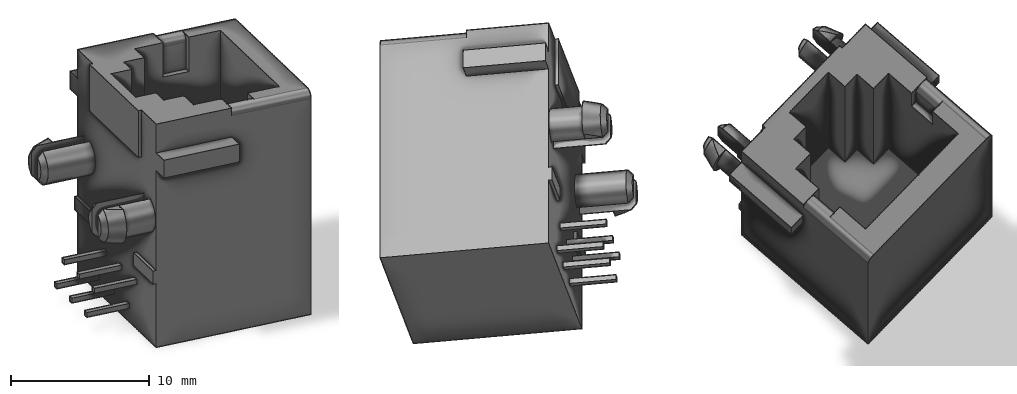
import cadquery as cq
import math


HEIGHT = 18.03
WIDTH = 13.2
DEPTH = 12.35
HALF_WIDTH = WIDTH / 2

BACK_WALL = 1.77
CAVITY_BACK_Y = DEPTH - BACK_WALL
CAVITY_WIDTH = 9.88
SHOULDER_WIDTH = 6.7
SHOULDER_Y = 3.77
LATCH_WIDTH = 4.15
LATCH_Y = 2.15
LATCH_END_Y = 0.52
CAVITY_DEPTH = HEIGHT - BACK_WALL

ROUND_RADIUS = 0.6
ROUND_FRONT_Y = 6.02
NOTCH_LENGTH = 2.05
NOTCH_DEPTH = 2.78

EAR_SPAN = 15.75
EAR_HEIGHT = 1.45
EAR_BOTTOM_Z = 14.26

PAD_RAISE = 0.25
PANEL_WIDTH = 8.24
STANDOFF_WIDTH = 3.25
STANDOFF_HEIGHT = 1.06
STANDOFF_BOTTOM_Z = 5.15

PEG_X = 5.07
PEG_Z = 10.19
PEG_RADIUS = 1.45
PEG_LENGTH = 4.16
PEG_CHAMFER = 0.4
PEG_SLOT = 1.01
BARB_RADIUS = 1.84
BARB_START = 2.49

PIN_SIZE = 0.4
PIN_LENGTH = 3.39
PIN_PITCH = 1.26
PIN_COUNT = 6
PIN_LOW_Z = 1.3
PIN_ROW_SPACING = 2 * PIN_PITCH


def box(x_range, y_range, z_range):
    """Box between two limits along each axis."""
    size = [high - low for low, high in (x_range, y_range, z_range)]
    corner = (x_range[0], y_range[0], z_range[0])
    return cq.Workplane("XY").box(*size, centered=False).translate(corner)


def both_sides(shape):
    """The shape together with its mirror image across X = 0."""
    return shape.union(shape.mirror("YZ"))


def plug_cavity():
    """Cavity that narrows in two steps toward the mounting face."""
    half_outline = [
        (0, CAVITY_BACK_Y),
        (CAVITY_WIDTH / 2, CAVITY_BACK_Y),
        (CAVITY_WIDTH / 2, SHOULDER_Y),
        (SHOULDER_WIDTH / 2, SHOULDER_Y),
        (SHOULDER_WIDTH / 2, LATCH_Y),
        (LATCH_WIDTH / 2, LATCH_Y),
        (LATCH_WIDTH / 2, LATCH_END_Y),
        (0, LATCH_END_Y),
    ]
    half = cq.Workplane("XY", origin=(0, 0, HEIGHT)).polyline(half_outline).close().extrude(-CAVITY_DEPTH)
    return both_sides(half)


def side_wall_reliefs():
    """Material removed to round the side walls' outer top edges and to form the two notches."""
    arc_reach = ROUND_RADIUS * math.sqrt(0.5)
    crest_x = HALF_WIDTH - ROUND_RADIUS
    arc_z = HEIGHT - ROUND_RADIUS
    notch_wall_x = crest_x - ROUND_RADIUS
    plane = cq.Workplane("XZ", origin=(0, ROUND_FRONT_Y, 0))

    outer_round = (
        plane.moveTo(crest_x, HEIGHT)
        .threePointArc((crest_x + arc_reach, arc_z + arc_reach), (HALF_WIDTH, arc_z))
        .lineTo(HALF_WIDTH, HEIGHT)
        .close()
        .extrude(ROUND_FRONT_Y - DEPTH)
    )
    notch = (
        plane.moveTo(crest_x, HEIGHT)
        .threePointArc((crest_x - arc_reach, arc_z + arc_reach), (notch_wall_x, arc_z))
        .lineTo(notch_wall_x, HEIGHT - NOTCH_DEPTH)
        .lineTo(CAVITY_WIDTH / 2, HEIGHT - NOTCH_DEPTH)
        .lineTo(CAVITY_WIDTH / 2, HEIGHT)
        .close()
        .extrude(-NOTCH_LENGTH)
    )
    return both_sides(outer_round.union(notch))


def ears():
    """Rectangular bars on both sides, flush with the mounting face."""
    return both_sides(
        box((HALF_WIDTH, EAR_SPAN / 2), (0, ROUND_FRONT_Y), (EAR_BOTTOM_Z, EAR_BOTTOM_Z + EAR_HEIGHT))
    )


def face_pads():
    """Shallow panel at the top and two standoffs, raised from the mounting face."""
    raise_range = (-PAD_RAISE, 0)
    panel = box((-PANEL_WIDTH / 2, PANEL_WIDTH / 2), raise_range, (EAR_BOTTOM_Z, HEIGHT))
    standoff = box(
        (HALF_WIDTH - STANDOFF_WIDTH, HALF_WIDTH),
        raise_range,
        (STANDOFF_BOTTOM_Z, STANDOFF_BOTTOM_Z + STANDOFF_HEIGHT),
    )
    return panel.union(both_sides(standoff))


def snap_pegs():
    """Two slotted pegs, each with a conical barb on its outer half."""
    half_slot = PEG_SLOT / 2
    half_height = math.sqrt(PEG_RADIUS**2 - half_slot**2)
    chamfer_start = PEG_LENGTH - PEG_CHAMFER
    tip_radius = PEG_RADIUS - PEG_CHAMFER
    plane = cq.Workplane("XZ", origin=(PEG_X, 0, PEG_Z))

    shank = plane.circle(PEG_RADIUS).extrude(PEG_LENGTH).faces("<Y").chamfer(PEG_CHAMFER)

    barb_section = [
        (0, -BARB_START),
        (BARB_RADIUS, -BARB_START),
        (PEG_RADIUS, -chamfer_start),
        (tip_radius, -PEG_LENGTH),
        (0, -PEG_LENGTH),
    ]
    barb = (
        cq.Workplane("XY", origin=(PEG_X, 0, PEG_Z))
        .polyline(barb_section)
        .close()
        .revolve(360, (0, 0, 0), (0, 1, 0))
    )
    outer_half = box(
        (PEG_X + half_slot, PEG_X + BARB_RADIUS),
        (-PEG_LENGTH, -BARB_START),
        (PEG_Z - half_height, PEG_Z + half_height),
    )
    slot = box(
        (PEG_X - half_slot, PEG_X + half_slot),
        (-PEG_LENGTH, 0),
        (PEG_Z - PEG_RADIUS, PEG_Z + PEG_RADIUS),
    )
    return both_sides(shank.union(barb.intersect(outer_half)).cut(slot))


def make_housing():
    block = box((-HALF_WIDTH, HALF_WIDTH), (0, DEPTH), (0, HEIGHT))
    block = block.cut(plug_cavity()).cut(side_wall_reliefs())
    return block.union(ears()).union(face_pads()).union(snap_pegs())


def make_pin(index):
    """Square pin standing on the mounting face; odd pins are in the upper row."""
    x = (index - (PIN_COUNT - 1) / 2) * PIN_PITCH
    z = PIN_LOW_Z + (index % 2) * PIN_ROW_SPACING
    return cq.Workplane("XZ", origin=(x, 0, z)).rect(PIN_SIZE, PIN_SIZE).extrude(PIN_LENGTH)


housing = make_housing()
pins = [make_pin(index) for index in range(PIN_COUNT)]

result = cq.Compound.makeCompound([housing.val(), *[pin.val() for pin in pins]])